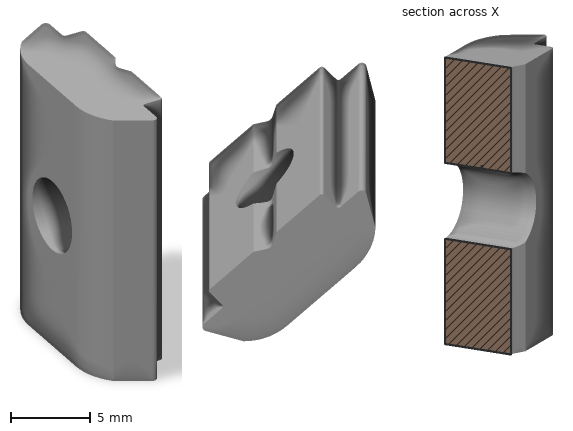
import math

import cadquery as cq

width = 14.0
thickness = 5.2
length = 19.0

rib_width = 9.9
rib_height = 1.5
rib_edge_radius = 0.2
rib_root_radius = 0.2

groove_width = 2.0
groove_angle = 30.0
groove_root_radius = 0.5

tip_radius = 0.3
side_lean = 30.0
front_flat_width = 5.95
curve_rise = 1.1

hole_diameter = 5.0

front_y = -thickness / 2
back_y = thickness / 2
shoulder_y = back_y - rib_height
curve_end_y = front_y + curve_rise

lean = math.radians(side_lean)
tip_center_x = width / 2 - tip_radius
tip_corner_x = tip_center_x + tip_radius * (1 + math.sin(lean)) / math.cos(lean)

curve_end_x = tip_corner_x - (shoulder_y - curve_end_y) * math.tan(lean)

curve_start_x = front_flat_width / 2
curve_run = curve_end_x - curve_start_x
curve_radius = (curve_run**2 + curve_rise**2) / (2 * curve_rise)
half_sweep = math.asin(curve_run / curve_radius) / 2
curve_mid_x = curve_start_x + curve_radius * math.sin(half_sweep)
curve_mid_y = front_y + curve_radius * (1 - math.cos(half_sweep))

groove_depth = groove_width / 2 * math.tan(math.radians(groove_angle))


def make_body():
    """Extruded section with sharp corners, symmetric about X = 0."""
    return (
        cq.Workplane("XY")
        .workplane(offset=-length / 2)
        .moveTo(-curve_start_x, front_y)
        .lineTo(curve_start_x, front_y)
        .threePointArc((curve_mid_x, curve_mid_y), (curve_end_x, curve_end_y))
        .lineTo(tip_corner_x, shoulder_y)
        .lineTo(rib_width / 2, shoulder_y)
        .lineTo(rib_width / 2, back_y)
        .lineTo(groove_width / 2, back_y)
        .lineTo(0, back_y - groove_depth)
        .lineTo(-groove_width / 2, back_y)
        .lineTo(-rib_width / 2, back_y)
        .lineTo(-rib_width / 2, shoulder_y)
        .lineTo(-tip_corner_x, shoulder_y)
        .lineTo(-curve_end_x, curve_end_y)
        .threePointArc((-curve_mid_x, curve_mid_y), (-curve_start_x, front_y))
        .close()
        .extrude(length)
    )


def round_long_edges(body, x, y, radius):
    """Fillet the lengthwise edges at (x, y) and (-x, y)."""
    for edge_x in sorted({-x, x}):
        body = body.edges(cq.selectors.NearestToPointSelector((edge_x, y, 0))).fillet(radius)
    return body


def make_hole():
    """Cylinder through the whole thickness at the centre of the front face."""
    return (
        cq.Workplane("XZ")
        .circle(hole_diameter / 2)
        .extrude(thickness, both=True)
    )


result = make_body()
result = round_long_edges(result, tip_corner_x, shoulder_y, tip_radius)
result = round_long_edges(result, rib_width / 2, shoulder_y, rib_root_radius)
result = round_long_edges(result, rib_width / 2, back_y, rib_edge_radius)
result = round_long_edges(result, 0.0, back_y - groove_depth, groove_root_radius)
result = result.cut(make_hole())